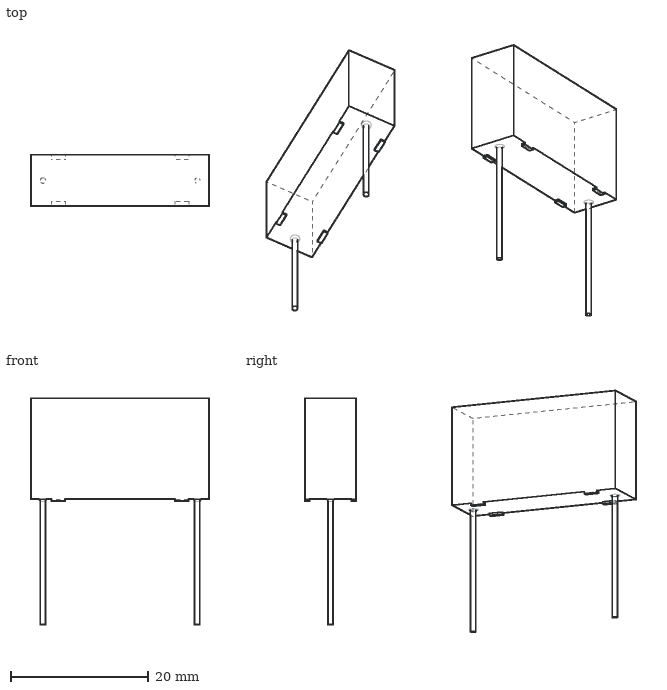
import cadquery as cq

BODY_LENGTH = 26.0
BODY_WIDTH = 7.5
OVERALL_HEIGHT = 33.0

FOOT_HEIGHT = 0.3
FOOT_LENGTH = 2.0
FOOT_WIDTH = 0.7
FOOT_END_DISTANCE = 3.0

LEAD_DIAMETER = 0.8
LEAD_PITCH = 22.5
LEAD_LENGTH = 18.0
MENISCUS_RADIUS = FOOT_HEIGHT

BODY_HEIGHT = OVERALL_HEIGHT - LEAD_LENGTH - FOOT_HEIGHT
FOOT_X = BODY_LENGTH / 2 - FOOT_END_DISTANCE - FOOT_LENGTH / 2
FOOT_Y = (BODY_WIDTH - FOOT_WIDTH) / 2


def make_body():
    """Plain rectangular case, raised off Z = 0 by the feet."""
    return (
        cq.Workplane("XY")
        .workplane(offset=FOOT_HEIGHT)
        .box(BODY_LENGTH, BODY_WIDTH, BODY_HEIGHT, centered=(True, True, False))
    )


def make_feet():
    """Four rectangular feet under the case."""
    return (
        cq.Workplane("XY")
        .rect(2 * FOOT_X, 2 * FOOT_Y, forConstruction=True)
        .vertices()
        .rect(FOOT_LENGTH, FOOT_WIDTH)
        .extrude(FOOT_HEIGHT)
    )


def make_lead(x):
    """Round lead with a quarter-circle flare up to the case, revolved about its axis."""
    lead_radius = LEAD_DIAMETER / 2
    flare_bottom = FOOT_HEIGHT - MENISCUS_RADIUS
    return (
        cq.Workplane("XZ")
        .moveTo(0, -LEAD_LENGTH)
        .lineTo(lead_radius, -LEAD_LENGTH)
        .lineTo(lead_radius, flare_bottom)
        .tangentArcPoint((MENISCUS_RADIUS, MENISCUS_RADIUS))
        .lineTo(0, FOOT_HEIGHT)
        .close()
        .revolve(360, (0, 0), (0, 1))
        .translate((x, 0, 0))
    )


result = make_body().union(make_feet())
for side in (-1, 1):
    result = result.union(make_lead(side * LEAD_PITCH / 2))